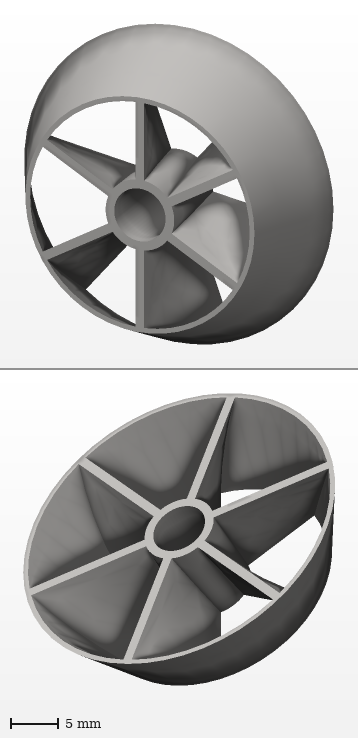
import cadquery as cq
import math

outer_diameter = 35.97
depth = 10.0
rim_slope = 25.0
rim_wall = 0.5
rim_wall_radial = rim_wall / math.cos(math.radians(rim_slope))

back_radius = outer_diameter / 2
front_radius = back_radius - depth * math.tan(math.radians(rim_slope))

hub_radius = 4.0
bore_radius = 3.0

spoke_thickness = 1.0
spoke_twist = -20.0
bar_count = 3


def cone(inset):
    """Solid cone along Z, its radius reduced by inset."""
    front = front_radius - inset
    back = back_radius - inset
    profile = [(0, 0), (front, 0), (back, depth), (0, depth)]
    return cq.Workplane("XZ").polyline(profile).close().revolve(360, (0, 0), (0, 1))


def twisted_bar(angle):
    """Bar across the full diameter that twists along the axis."""
    return (
        cq.Workplane("XY")
        .transformed(rotate=(0, 0, angle))
        .rect(outer_diameter, spoke_thickness)
        .twistExtrude(depth, spoke_twist)
    )


rim = cone(0).cut(cone(rim_wall_radial))
hub = cq.Workplane("XY").circle(hub_radius).extrude(depth)
bore = cq.Workplane("XY").circle(bore_radius).extrude(depth)

spoke_limit = cone(rim_wall_radial / 2)
wheel = rim.union(hub)
for index in range(bar_count):
    bar_angle = 90 + index * 180 / bar_count
    wheel = wheel.union(twisted_bar(bar_angle).intersect(spoke_limit))
wheel = wheel.cut(bore)

result = wheel.rotate((0, 0, 0), (1, 0, 0), -90).translate((0, -depth / 2, 0))